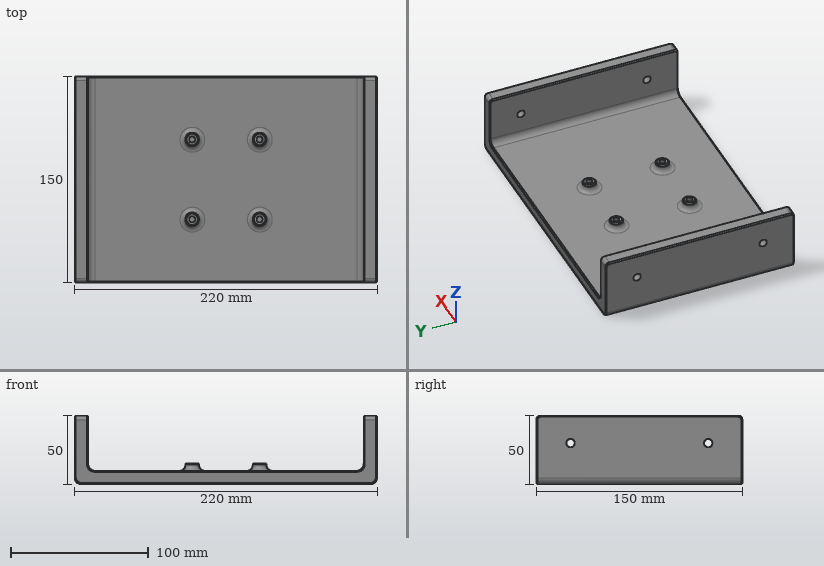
import cadquery as cq

length = 220.0
depth = 150.0
height = 50.0
wall = 10.0
floor = wall
outer_radius = 4.8
inner_radius = 4.8
corner_radius = 3.0
edge_chamfer = 1.0

wall_hole_diameter = 6.0
wall_hole_spacing = 100.0
wall_hole_drop = 20.0

standoff_spacing_x = 49.0
standoff_spacing_y = 58.0
standoff_diameter = 10.1
standoff_height = 5.5
standoff_chamfer = 1.0
flare_radius = 4.0
pilot_diameter = 4.5
pilot_depth = standoff_height


def make_tray():
    """U-shaped channel with rounded bends, rounded wall corners and chamfered rims."""
    block = (
        cq.Workplane("XY")
        .box(length, depth, height, centered=(True, True, False))
        .edges("|Y and <Z")
        .fillet(outer_radius)
    )
    cavity = (
        cq.Workplane("XY", origin=(0, 0, floor))
        .box(length - 2 * wall, depth, height, centered=(True, True, False))
        .edges("|Y and <Z")
        .fillet(inner_radius)
    )
    tray = block.cut(cavity).edges("|X and >Z").fillet(corner_radius)
    return tray.edges("|Y and >Z").chamfer(edge_chamfer)


def make_wall_holes():
    return (
        cq.Workplane("YZ", origin=(-length / 2, 0, height - wall_hole_drop))
        .rarray(wall_hole_spacing, 2.2, 2, 1)
        .circle(wall_hole_diameter / 2)
        .extrude(length)
    )


def make_standoff():
    """Half section revolved about Z, with a concave flare at its foot."""
    radius = standoff_diameter / 2
    middle = flare_radius * (1 - 0.5**0.5)
    return (
        cq.Workplane("XZ")
        .moveTo(0, 0)
        .lineTo(radius + flare_radius, 0)
        .threePointArc((radius + middle, middle), (radius, flare_radius))
        .lineTo(radius, standoff_height - standoff_chamfer)
        .lineTo(radius - standoff_chamfer, standoff_height)
        .lineTo(0, standoff_height)
        .close()
        .revolve(360, (0, 0, 0), (0, 1, 0))
        .faces(">Z")
        .workplane()
        .hole(pilot_diameter, pilot_depth)
    )


result = make_tray().cut(make_wall_holes())
standoff = make_standoff()
for side_x in (-1, 1):
    for side_y in (-1, 1):
        place = (side_x * standoff_spacing_x / 2, side_y * standoff_spacing_y / 2, floor)
        result = result.union(standoff.translate(place))